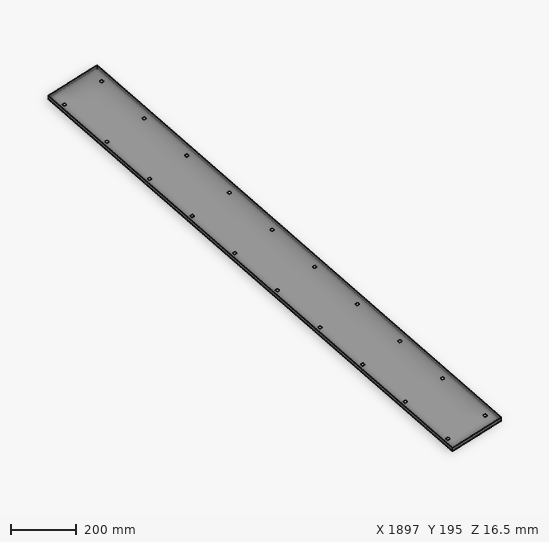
import cadquery as cq

length = 1897.0
width = 195.0
height = 16.5

sheet = 1.5
inner_bend_radius = 0.1
outer_bend_radius = inner_bend_radius + sheet

corner_notch = 1.1

hole_side = 10.0
holes_per_row = 10
hole_end_inset = 50.0
row_spacing = 148.0
hole_pitch = (length - 2 * hole_end_inset) / (holes_per_row - 1)


def block(size_x, size_y, bottom, top):
    """Rectangular block centred on the Z axis, between two heights."""
    return (
        cq.Workplane("XY")
        .workplane(offset=bottom)
        .rect(size_x, size_y)
        .extrude(top - bottom)
    )


def tray():
    """Open-topped shallow tray on the plane Z = 0, with bends along the foot of its walls."""
    outside = block(length, width, 0, height)
    outside = outside.faces("<Z").edges().fillet(outer_bend_radius)
    cavity = block(length - 2 * sheet, width - 2 * sheet, sheet, height)
    cavity = cavity.faces("<Z").edges().fillet(inner_bend_radius)
    return outside.cut(cavity)


def corner_notches():
    """Full-height square prisms, flush inside the four outer corners."""
    return (
        cq.Workplane("XY")
        .rarray(length - corner_notch, width - corner_notch, 2, 2)
        .rect(corner_notch, corner_notch)
        .extrude(height)
    )


def floor_holes():
    """Square prisms through the floor, evenly spaced along each of the two rows."""
    return (
        cq.Workplane("XY")
        .rarray(hole_pitch, row_spacing, holes_per_row, 2)
        .rect(hole_side, hole_side)
        .extrude(sheet)
    )


result = tray().cut(corner_notches()).cut(floor_holes())